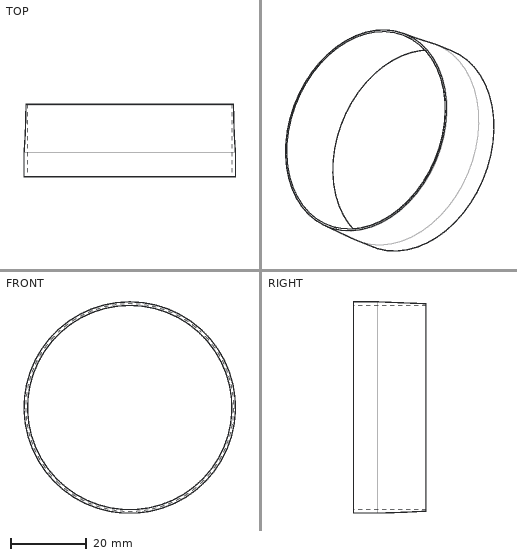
import cadquery as cq

outer_radius = 28.05
bore_radius = 27.05
rear_radius = 27.55
ring_length = 19.3
straight_length = 6.4
lip_length = 0.2

front_y = -ring_length / 2
rear_y = ring_length / 2
band_y = front_y + straight_length
lip_y = rear_y - lip_length

half_section = (
    cq.Workplane("YZ")
    .moveTo(front_y, bore_radius)
    .lineTo(front_y, outer_radius)
    .lineTo(band_y, outer_radius)
    .lineTo(lip_y, rear_radius)
    .lineTo(rear_y, rear_radius)
    .lineTo(rear_y, bore_radius)
    .close()
)

result = half_section.revolve(360, (0, 0, 0), (1, 0, 0))